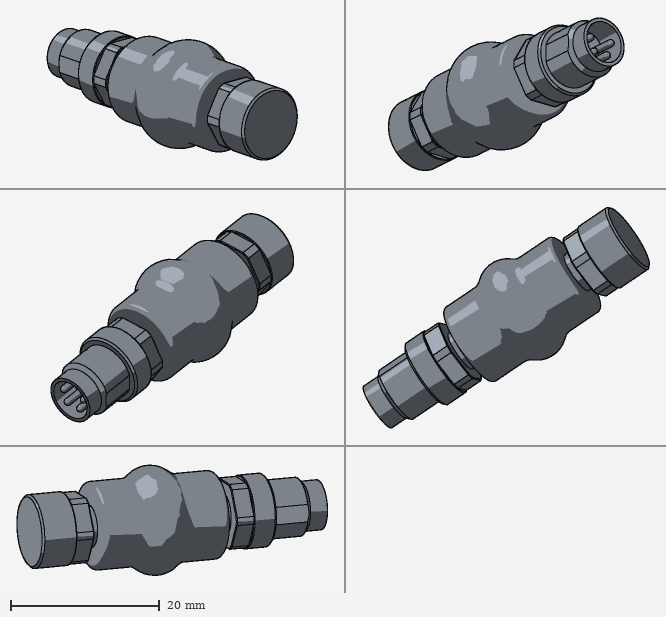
import cadquery as cq
import math

LENGTH = 41.7
TUBE_END = 2.45
BARREL_START = 3.05
COLLAR_START = 7.9
COLLAR_END = 11.2
LEFT_HEX_END = 13.7
BODY_START = 14.95
BODY_END = 33.0
RIGHT_HEX_START = 34.25
SOCKET_START = 36.75

TUBE_DIA = 6.8
BARREL_DIA = 8.0
COLLAR_DIA = 10.0
NECK_DIA = 5.8
BODY_DIA = 12.0
BULGE_DIA = 14.9

BARREL_ACROSS_FLATS = 7.65
HEX_ACROSS_FLATS = 9.0
HEX_CORNER_DIA = 9.85
HEX_CHAMFER = 0.13

OUTER_CHAMFER = 0.3
NUT_SIDE_CHAMFER = 0.13
BODY_FILLET = 0.63
BULGE_ARC_RADIUS = 3.85
BULGE_BLEND_RADIUS = 1.88

CHAMBER_DIA = 5.8
CHAMBER_DEPTH = 4.0
PIN_DIA = 1.0
PIN_TIP_X = 0.3
UPPER_PIN_Y = 1.7
UPPER_PIN_Z = 0.5
LOWER_PIN_Y = 1.1
LOWER_PIN_Z = -1.4


def cylinder(start, end, diameter):
    """Round bar on the X axis between two stations."""
    return cq.Workplane("YZ", origin=(start, 0, 0)).circle(diameter / 2).extrude(end - start)


def barrel():
    """Barrel with a lead-in cone and a flat on each Y side."""
    profile = [
        (TUBE_END, 0),
        (TUBE_END, TUBE_DIA / 2),
        (BARREL_START, BARREL_DIA / 2),
        (COLLAR_START, BARREL_DIA / 2),
        (COLLAR_START, 0),
    ]
    turned = cq.Workplane("XY").polyline(profile).close().revolve(360, (0, 0, 0), (1, 0, 0))
    slab = cq.Workplane("XY").box(2 * LENGTH, BARREL_ACROSS_FLATS, BARREL_DIA)
    return turned.intersect(slab)


def sleeve(start, end, outer_face, nut_face):
    """Round sleeve with a wide chamfer at its outer end and a narrow one beside the nut."""
    blank = cylinder(start, end, COLLAR_DIA)
    return blank.faces(outer_face).chamfer(OUTER_CHAMFER).faces(nut_face).chamfer(NUT_SIDE_CHAMFER)


def hex_nut(start, end, neck_face):
    """Hexagon with flats facing up and down, corners rounded by a turned blank."""
    across_corners = HEX_ACROSS_FLATS / math.cos(math.pi / 6)
    prism = cq.Workplane("YZ", origin=(start, 0, 0)).polygon(6, across_corners).extrude(end - start)
    blank = cylinder(start, end, HEX_CORNER_DIA)
    return prism.intersect(blank).faces(neck_face).chamfer(HEX_CHAMFER)


def body():
    """Turned body with rounded ends and a bulge blended into its middle."""
    middle = (BODY_START + BODY_END) / 2
    body_radius = BODY_DIA / 2
    arc_center_r = BULGE_DIA / 2 - BULGE_ARC_RADIUS
    blend_center_r = body_radius + BULGE_BLEND_RADIUS
    center_distance = BULGE_ARC_RADIUS + BULGE_BLEND_RADIUS
    rise = blend_center_r - arc_center_r
    blend_offset = math.sqrt(center_distance**2 - rise**2)

    touch_fraction = BULGE_ARC_RADIUS / center_distance
    touch_offset = blend_offset * touch_fraction
    touch_r = arc_center_r + rise * touch_fraction
    half_turn = math.atan2(blend_offset, rise) / 2
    blend_mid_offset = blend_offset - BULGE_BLEND_RADIUS * math.sin(half_turn)
    blend_mid_r = blend_center_r - BULGE_BLEND_RADIUS * math.cos(half_turn)

    turned = (
        cq.Workplane("XY")
        .moveTo(BODY_START, 0)
        .lineTo(BODY_START, body_radius)
        .lineTo(middle - blend_offset, body_radius)
        .threePointArc((middle - blend_mid_offset, blend_mid_r), (middle - touch_offset, touch_r))
        .threePointArc((middle, BULGE_DIA / 2), (middle + touch_offset, touch_r))
        .threePointArc((middle + blend_mid_offset, blend_mid_r), (middle + blend_offset, body_radius))
        .lineTo(BODY_END, body_radius)
        .lineTo(BODY_END, 0)
        .close()
        .revolve(360, (0, 0, 0), (1, 0, 0))
    )
    return turned.faces("<X or >X").edges().fillet(BODY_FILLET)


def pins():
    """Four round-tipped pins standing on the chamber floor."""
    rows = [(UPPER_PIN_Y, UPPER_PIN_Z), (LOWER_PIN_Y, LOWER_PIN_Z)]
    centers = [(side * y, z) for y, z in rows for side in (-1, 1)]
    tip_radius = PIN_DIA / 2
    shank_start = PIN_TIP_X + tip_radius
    bases = cq.Workplane("YZ", origin=(shank_start, 0, 0)).pushPoints(centers)
    shanks = bases.circle(tip_radius).extrude(CHAMBER_DEPTH - shank_start)
    tips = bases.sphere(tip_radius)
    return shanks.union(tips)


result = (
    cylinder(0, TUBE_END, TUBE_DIA)
    .union(barrel())
    .union(sleeve(COLLAR_START, COLLAR_END, "<X", ">X"))
    .union(hex_nut(COLLAR_END, LEFT_HEX_END, ">X"))
    .union(cylinder(LEFT_HEX_END, BODY_START, NECK_DIA))
    .union(body())
    .union(cylinder(BODY_END, RIGHT_HEX_START, NECK_DIA))
    .union(hex_nut(RIGHT_HEX_START, SOCKET_START, "<X"))
    .union(sleeve(SOCKET_START, LENGTH, ">X", "<X"))
    .cut(cylinder(0, CHAMBER_DEPTH, CHAMBER_DIA))
    .union(pins())
)